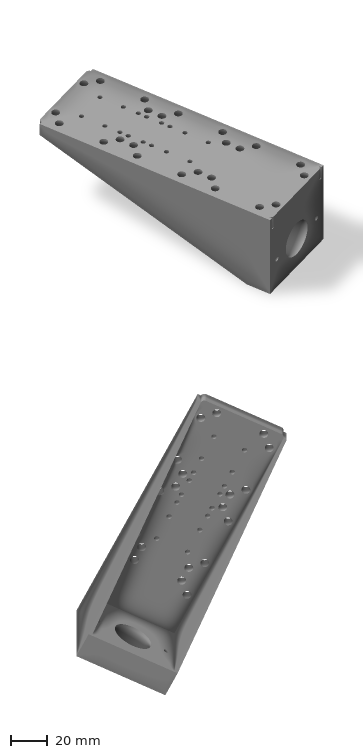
import cadquery as cq

length = 149.8
width = 53.8
height = 53.0

wall = 2.0
wall_setback = 2.0
plate_thickness = 8.0
plate_width = width - 2 * wall
plate_corner_radius = 2.2
block_length = 15.0

mount_diameter = 4.8
mount_pitch = 50.0
mount_near = 14.2
mount_far = 20.7

small_diameter = 2.8
small_start = 17.7
small_step = 15.0
small_count = 4
small_span_x = 24.5
small_span_y = 18.6

bore_diameter = 22.0
bore_depth = 33.0
pin_offset = 19.9


def make_plate():
    plate = cq.Workplane("XY").box(length, plate_width, plate_thickness)
    plate = plate.edges("|Z").fillet(plate_corner_radius)
    return plate.translate((length / 2, 0, -plate_thickness / 2))


def make_side_wall(outer_y):
    """Tapered wall extending in +Y from its -Y face at outer_y."""
    outline = [
        (wall_setback, 0),
        (length, 0),
        (length, -height),
        (length - block_length, -height),
        (wall_setback, -plate_thickness),
    ]
    plane = cq.Workplane("XZ", origin=(0, outer_y, 0))
    return plane.polyline(outline).close().extrude(-wall)


def make_end_block():
    block_height = height - plate_thickness
    block = cq.Workplane("XY").box(block_length, plate_width, block_height)
    return block.translate((length - block_length / 2, 0, -plate_thickness - block_height / 2))


def plate_holes(points, diameter):
    """Cutters that go through the plate but not into the end block."""
    return cq.Workplane("XY").pushPoints(points).circle(diameter / 2).extrude(-plate_thickness)


def mount_points():
    points = []
    for group in (-1, 0, 1):
        centre_x = length / 2 + group * mount_pitch
        for dx, dy in ((mount_near, mount_far), (mount_far, mount_near)):
            for side_x in (-1, 1):
                for side_y in (-1, 1):
                    points.append((centre_x + side_x * dx, side_y * dy))
    return points


def small_points():
    points = []
    for index in range(small_count):
        first_x = small_start + index * small_step
        for x in (first_x, first_x + small_span_x):
            for y in (-small_span_y / 2, small_span_y / 2):
                points.append((x, y))
    return points


def end_holes():
    """Central bore with a small pin hole on each side, along X."""
    plane = cq.Workplane("YZ", origin=(length - block_length, 0, -bore_depth))
    bore = plane.circle(bore_diameter / 2).extrude(block_length)
    pins = plane.pushPoints([(-pin_offset, 0), (pin_offset, 0)])
    return bore.union(pins.circle(small_diameter / 2).extrude(block_length))


body = make_plate().union(make_end_block())
for outer_y in (-width / 2, width / 2 - wall):
    body = body.union(make_side_wall(outer_y))

body = body.cut(plate_holes(mount_points(), mount_diameter))
body = body.cut(plate_holes(small_points(), small_diameter))
result = body.cut(end_holes())